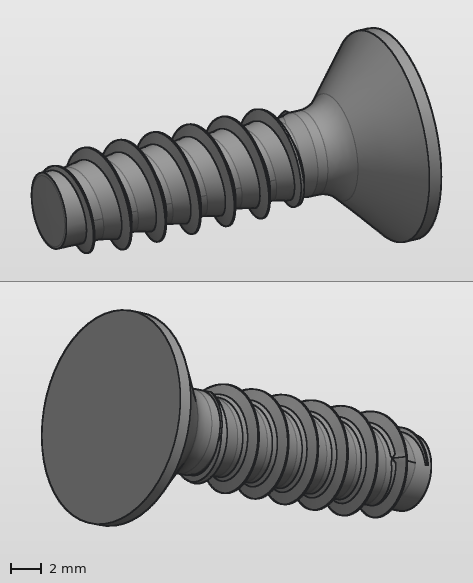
import cadquery as cq
import math


length = 25.0
head_radius = 7.0
rim_height = 0.88
neck_radius = 2.8
neck_blend_radius = 2.55
neck_end = 6.85
head_cone_angle = math.radians(45)

core_radius = 2.52
tip_edge_radius = 2.35
tip_edge_height = 0.05
neck_taper_length = 1.0
tip_cone_height = 0.08

thread_radius = 3.5
pitch = 2.5
thread_start = 3.85
thread_start_angle = 90
full_turns = 7.25
crest_half_width = 0.05
thread_root_radius = 2.48
head_foot_offset = 0.58
head_knee_offset, head_knee_radius = 0.3, 2.75
tip_knee_offset, tip_knee_radius = 0.32, 2.75
tip_foot_offset = 1.8

lead_in_radius = 3.0
lead_in_end = 9.25
fade_turns = 1.0
fade_angle = 19.0
thread_end = 24.8


def revolve_profile(profile):
    """Turn a closed profile, drawn as (radius, height), about the Z axis."""
    return profile.close().revolve(360, (0, 0, 0), (0, 1, 0)).rotate((0, 0, 0), (1, 0, 0), 90)


def make_body():
    """Head, concave neck, core and shallow conical tip."""
    blend_drop = neck_blend_radius * (1 - math.cos(head_cone_angle))
    blend_length = neck_blend_radius * math.sin(head_cone_angle)
    blend_start_radius = neck_radius + blend_drop
    blend_start = rim_height + (head_radius - blend_start_radius) / math.tan(head_cone_angle)
    blend_end = blend_start + blend_length
    blend_middle = (
        neck_radius + neck_blend_radius * (1 - math.cos(head_cone_angle / 2)),
        blend_end - neck_blend_radius * math.sin(head_cone_angle / 2),
    )
    profile = (
        cq.Workplane("XY")
        .lineTo(head_radius, 0)
        .lineTo(head_radius, rim_height)
        .lineTo(blend_start_radius, blend_start)
        .threePointArc(blend_middle, (neck_radius, blend_end))
        .lineTo(neck_radius, neck_end)
        .lineTo(core_radius, neck_end + neck_taper_length)
        .lineTo(core_radius, length - tip_cone_height - tip_edge_height)
        .lineTo(tip_edge_radius, length - tip_cone_height)
        .lineTo(0, length)
    )
    return revolve_profile(profile)


def make_ridge(turns, taper=0.0):
    """Helical ridge with a steep crest and a long flare on its tip side.

    It starts at Z = 0 on the +X side. With a taper angle it sinks towards the axis.
    """
    slant_pitch = pitch / math.cos(math.radians(taper))
    helix_angle = -taper if taper else 360
    helix = cq.Wire.makeHelix(slant_pitch, slant_pitch * turns, core_radius, angle=helix_angle)
    section = cq.Workplane("XZ").polyline([
        (thread_root_radius, -head_foot_offset),
        (head_knee_radius, -head_knee_offset),
        (thread_radius, -crest_half_width),
        (thread_radius, crest_half_width),
        (tip_knee_radius, tip_knee_offset),
        (thread_root_radius, tip_foot_offset),
    ]).close()
    return section.sweep(cq.Workplane(obj=helix), isFrenet=True)


def place_ridge(ridge, turns_before):
    """Move a ridge to its place, a number of turns after the start of the thread."""
    turned = ridge.rotate((0, 0, 0), (0, 0, 1), thread_start_angle + 360 * turns_before)
    return turned.translate((0, 0, thread_start + pitch * turns_before))


def make_thread_limit():
    """Solid of revolution that bounds the thread."""
    crest_clearance = 0.02
    full_radius = thread_radius + crest_clearance
    profile = (
        cq.Workplane("XY")
        .moveTo(0, neck_end)
        .lineTo(lead_in_radius, neck_end)
        .lineTo(full_radius, lead_in_end)
        .lineTo(full_radius, thread_end)
        .lineTo(0, thread_end)
    )
    return revolve_profile(profile)


limit = make_thread_limit()
full_thread = place_ridge(make_ridge(full_turns), 0).intersect(limit)
fading_thread = place_ridge(make_ridge(fade_turns, fade_angle), full_turns).intersect(limit)
screw = make_body().union(full_thread).union(fading_thread)
result = screw.rotate((0, 0, 0), (1, 0, 0), 90)